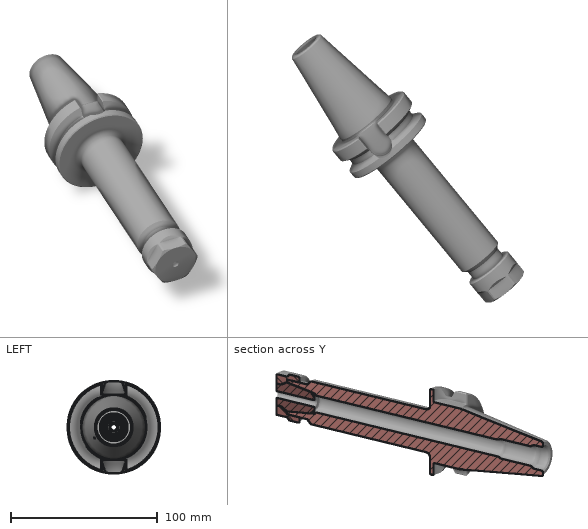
import cadquery as cq
import math

total_length = 217.8

gauge_x = 65.3
gauge_diameter = 44.5
taper_ratio = 7 / 24
shank_chamfer = 0.98
undercut_diameter = 44.0
undercut_fillet = 0.7
undercut_run_in = 0.7

flange_start_x = 67.3
flange_end_x = 92.4
rim_diameter = 63.0
collar_diameter = rim_diameter
collar_chamfer = 0.9
rim_chamfer = 0.7
groove_diameter = 52.7
groove_floor_start_x = 79.7
groove_floor_end_x = 84.0
groove_half_angle = 30.0

keyway_width = 16.1
keyway_floor_z = 22.5
keyway_end_x = 89.0
keyway_floor_fillet = 0.7
keyway_edge_chamfer = 0.76

body_diameter = 31.8
body_fillet = 3.0
body_end_x = 189.5
neck_diameter = 26.0
nose_end_x = 209.0

mouth_diameter = 19.0
pilot_diameter = 17.0
pilot_depth = 7.6
thread_diameter = 14.0
thread_depth = 34.8
through_diameter = 12.0
step_half_angle = 30.0

nut_start_x = 198.6
nut_diameter = 34.0
nut_rear_chamfer = 0.9
hex_across_flats = 30.0
hex_start_x = 208.9
hex_front_chamfer_angle = 30.0
hex_sides = 6
nut_opening_diameter = 15.5

collet_start_x = 186.2
collet_max_diameter = 21.0
collet_half_angle = 8.0
collet_front_half_angle = 30.0
collet_rear_diameter = 9.4
collet_rear_half_angle = 45.0
collet_bore_diameter = 4.5
collet_bore_mouth_diameter = 5.9


def turned(profile):
    """Revolve a closed outline of (x, radius) points about the X axis."""
    return cq.Workplane("XY").polyline(profile).close().revolve(360, (0, 0, 0), (1, 0, 0))


def tan_deg(angle):
    return math.tan(math.radians(angle))


def taper_radius(x):
    """Radius of the taper shank at a distance x from its small end."""
    return (gauge_diameter - (gauge_x - x) * taper_ratio) / 2


def collet_radius(x):
    """Radius of the collet's long taper, which matches the seat in the holder."""
    return collet_max_diameter / 2 - (nose_end_x - x) * tan_deg(collet_half_angle)


front_cone_drop = (collet_max_diameter - nut_opening_diameter) / 2
front_cone_end_x = nose_end_x + front_cone_drop / tan_deg(collet_front_half_angle)


def holder_blank():
    collar_radius = collar_diameter / 2
    rim_radius = rim_diameter / 2
    groove_radius = groove_diameter / 2
    body_radius = body_diameter / 2
    neck_radius = neck_diameter / 2
    flank_slope = tan_deg(groove_half_angle)
    collar_end_x = groove_floor_start_x - (collar_radius - groove_radius) * flank_slope
    rim_start_x = groove_floor_end_x + (rim_radius - groove_radius) * flank_slope
    body_shoulder = body_radius - neck_radius
    undercut_radius = undercut_diameter / 2
    undercut_corner = (1 - math.sqrt(0.5)) * undercut_fillet
    fillet_corner = (1 - math.sqrt(0.5)) * body_fillet
    return (
        cq.Workplane("XY")
        .moveTo(0, 0)
        .lineTo(0, taper_radius(shank_chamfer) - shank_chamfer)
        .lineTo(shank_chamfer, taper_radius(shank_chamfer))
        .lineTo(gauge_x, gauge_diameter / 2)
        .lineTo(gauge_x + undercut_run_in, undercut_radius)
        .lineTo(flange_start_x - undercut_fillet, undercut_radius)
        .threePointArc(
            (flange_start_x - undercut_corner, undercut_radius + undercut_corner),
            (flange_start_x, undercut_radius + undercut_fillet),
        )
        .lineTo(flange_start_x, collar_radius - collar_chamfer)
        .lineTo(flange_start_x + collar_chamfer, collar_radius)
        .lineTo(collar_end_x, collar_radius)
        .lineTo(groove_floor_start_x, groove_radius)
        .lineTo(groove_floor_end_x, groove_radius)
        .lineTo(rim_start_x, rim_radius)
        .lineTo(flange_end_x - rim_chamfer, rim_radius)
        .lineTo(flange_end_x, rim_radius - rim_chamfer)
        .lineTo(flange_end_x, body_radius + body_fillet)
        .threePointArc(
            (flange_end_x + fillet_corner, body_radius + fillet_corner),
            (flange_end_x + body_fillet, body_radius),
        )
        .lineTo(body_end_x, body_radius)
        .lineTo(body_end_x + body_shoulder, neck_radius)
        .lineTo(nose_end_x, neck_radius)
        .lineTo(nose_end_x, 0)
        .close()
        .revolve(360, (0, 0, 0), (1, 0, 0))
    )


def drawbar_bore():
    mouth_radius = mouth_diameter / 2
    pilot_radius = pilot_diameter / 2
    thread_radius = thread_diameter / 2
    through_radius = through_diameter / 2
    step_slope = tan_deg(step_half_angle)
    return turned([
        (0, 0),
        (0, mouth_radius),
        (mouth_radius - pilot_radius, pilot_radius),
        (pilot_depth, pilot_radius),
        (pilot_depth + (pilot_radius - thread_radius) / step_slope, thread_radius),
        (thread_depth, thread_radius),
        (thread_depth + (thread_radius - through_radius) / step_slope, through_radius),
        (collet_start_x, through_radius),
        (collet_start_x, 0),
    ])


def collet_seat():
    return turned([
        (collet_start_x, 0),
        (collet_start_x, collet_radius(collet_start_x)),
        (nose_end_x, collet_max_diameter / 2),
        (nose_end_x, 0),
    ])


def keyway(side):
    """Round-ended drive slot, open at the rear of the flange; side is +1 for +Z, -1 for -Z."""
    half_width = keyway_width / 2
    arc_center_x = keyway_end_x - half_width
    depth = rim_diameter / 2 - keyway_floor_z
    cutter = (
        cq.Workplane("XY")
        .workplane(offset=keyway_floor_z)
        .moveTo(gauge_x, -half_width)
        .lineTo(arc_center_x, -half_width)
        .threePointArc((keyway_end_x, 0), (arc_center_x, half_width))
        .lineTo(gauge_x, half_width)
        .close()
        .extrude(depth)
        .faces("<Z").edges("not <X").fillet(keyway_floor_fillet)
    )
    return cutter if side > 0 else cutter.mirror("XY")


def keyway_edge_breaks(side):
    """Bevels where the keyway walls leave the collar's rear face and its rim."""
    half_width = keyway_width / 2
    wide_half = half_width + keyway_edge_chamfer
    depth = rim_diameter / 2 - keyway_floor_z
    rear_bevel = (
        cq.Workplane("XY")
        .workplane(offset=keyway_floor_z)
        .polyline([
            (flange_start_x, -wide_half),
            (flange_start_x + keyway_edge_chamfer, -half_width),
            (flange_start_x + keyway_edge_chamfer, half_width),
            (flange_start_x, wide_half),
        ])
        .close()
        .extrude(depth)
    )
    wall_top_z = math.sqrt((collar_diameter / 2) ** 2 - half_width ** 2)
    rim_bevel = (
        cq.Workplane("YZ")
        .workplane(offset=flange_start_x)
        .polyline([
            (-half_width, wall_top_z - keyway_edge_chamfer),
            (half_width, wall_top_z - keyway_edge_chamfer),
            (wide_half, wall_top_z),
            (wide_half, rim_diameter / 2),
            (-wide_half, rim_diameter / 2),
            (-wide_half, wall_top_z),
        ])
        .close()
        .extrude(groove_floor_start_x - flange_start_x)
    )
    cutter = rear_bevel.union(rim_bevel)
    return cutter if side > 0 else cutter.mirror("XY")


def make_holder():
    holder = holder_blank().cut(drawbar_bore()).cut(collet_seat())
    for side in (1, -1):
        holder = holder.cut(keyway(side)).cut(keyway_edge_breaks(side))
    return holder


def hex_flat_cutter(angle):
    """Removes the material outside one wrench flat, with a 45 degree run-out at its rear end."""
    flat_z = hex_across_flats / 2
    top_z = nut_diameter
    return (
        cq.Workplane("XZ")
        .polyline([
            (hex_start_x, flat_z),
            (total_length, flat_z),
            (total_length, top_z),
            (hex_start_x - (top_z - flat_z), top_z),
        ])
        .close()
        .extrude(nut_diameter / 2, both=True)
        .rotate((0, 0, 0), (1, 0, 0), angle)
    )


def make_nut():
    nut_radius = nut_diameter / 2
    front_radius = hex_across_flats / 2
    opening_radius = nut_opening_diameter / 2
    front_chamfer = (nut_radius - front_radius) * tan_deg(hex_front_chamfer_angle)
    nut = turned([
        (nut_start_x, neck_diameter / 2),
        (nut_start_x, nut_radius - nut_rear_chamfer),
        (nut_start_x + nut_rear_chamfer, nut_radius),
        (total_length - front_chamfer, nut_radius),
        (total_length, front_radius),
        (total_length, opening_radius),
        (front_cone_end_x, opening_radius),
        (nose_end_x, collet_max_diameter / 2),
        (nose_end_x, neck_diameter / 2),
    ])
    for index in range(hex_sides):
        nut = nut.cut(hex_flat_cutter(index * 360 / hex_sides))
    return nut


def make_collet():
    rear_radius = collet_rear_diameter / 2
    bore_radius = collet_bore_diameter / 2
    bore_mouth_radius = collet_bore_mouth_diameter / 2
    opening_radius = nut_opening_diameter / 2
    cone_slope = tan_deg(collet_rear_half_angle)
    taper_gap = collet_radius(collet_start_x) - rear_radius
    cone_length = taper_gap / (cone_slope - tan_deg(collet_half_angle))
    cone_end_x = collet_start_x + cone_length
    return turned([
        (collet_start_x, bore_mouth_radius),
        (collet_start_x, rear_radius),
        (cone_end_x, collet_radius(cone_end_x)),
        (nose_end_x, collet_max_diameter / 2),
        (front_cone_end_x, opening_radius),
        (total_length, opening_radius),
        (total_length, bore_radius),
        (collet_start_x + bore_mouth_radius - bore_radius, bore_radius),
    ])


holder = make_holder()
nut = make_nut()
collet = make_collet()

result = cq.Compound.makeCompound([holder.val(), nut.val(), collet.val()])